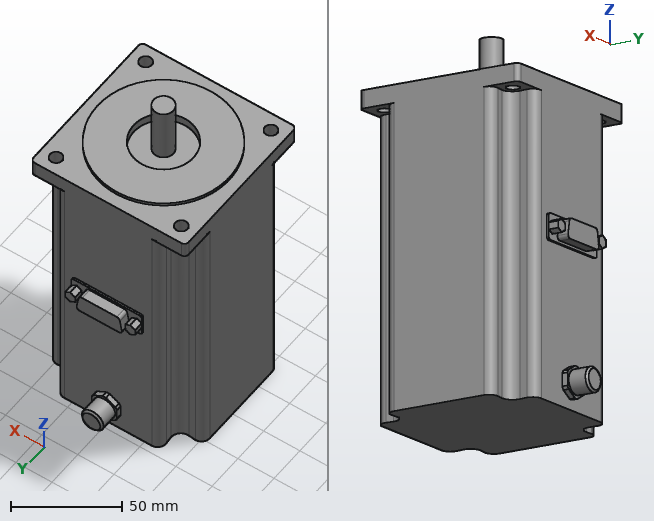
import cadquery as cq
import math

side = 85.8
half_side = side / 2
overall_height = 179.6
body_height = 144.0

lobe_radius = 4.5
lobe_inset = 18.7
groove_radius = 5.4
groove_inset = 9.2

flange_thickness = 8.6
flange_corner_radius = 2.3
bolt_hole_diameter = 6.6
bolt_spacing = 69.3
pilot_diameter = 73.0
pilot_height = 1.6
recess_diameter = 33.0
recess_depth = 4.7
shaft_diameter = 11.0

plug_z = 12.5
plug_diameter = 12.0
plug_length = 13.0
plug_chamfer = 1.0
nut_across_flats = 14.0
nut_corner_diameter = 15.3
nut_thickness = 2.9

socket_z = 81.5
plate_width = 39.2
plate_height = 12.5
plate_thickness = 1.0
plate_corner_radius = 1.5
shell_height = 9.9
shell_top_width = 22.3
shell_draft = 10.0
shell_corner_radius = 1.8
shell_length = 6.8
standoff_spacing = 33.2
standoff_across_flats = 5.5
standoff_length = 6.1


def corner_points():
    """Outline points of the (-X, -Y) corner, from the -Y side to the -X side, as insets from the corner.

    A straight flank touches both the lobe and the groove; mirroring across the diagonal gives the other half.
    """
    along = lobe_inset - groove_inset
    across = groove_inset - lobe_radius
    centre_distance = math.hypot(along, across)
    line_of_centres = math.atan2(across, -along)
    flank_turn = math.acos((lobe_radius + groove_radius) / centre_distance)
    normal = line_of_centres + flank_turn
    nx, ny = math.cos(normal), math.sin(normal)
    straight_down = math.pi * 3 / 2
    middle = (straight_down + normal) / 2

    lobe_start = (lobe_inset, 0)
    lobe_middle = (lobe_inset + lobe_radius * math.cos(middle), lobe_radius + lobe_radius * math.sin(middle))
    lobe_end = (lobe_inset + lobe_radius * nx, lobe_radius + lobe_radius * ny)
    groove_start = (groove_inset - groove_radius * nx, groove_inset - groove_radius * ny)
    deepest = groove_inset + groove_radius / math.sqrt(2)
    half = [lobe_start, lobe_middle, lobe_end, groove_start]
    return half + [(deepest, deepest)] + [(v, u) for u, v in reversed(half)]


def make_body():
    corner = [(u - half_side, v - half_side) for u, v in corner_points()]
    outline = cq.Workplane("XY").moveTo(*corner[0])
    for _ in range(4):
        outline = outline.threePointArc(corner[1], corner[2]).lineTo(*corner[3])
        outline = outline.threePointArc(corner[4], corner[5]).lineTo(*corner[6])
        outline = outline.threePointArc(corner[7], corner[8])
        corner = [(y, -x) for x, y in corner]
        outline = outline.lineTo(*corner[0])
    return outline.close().extrude(body_height)


def make_flange():
    flange = cq.Workplane("XY").box(side, side, flange_thickness, centered=(True, True, False))
    flange = flange.edges("|Z").fillet(flange_corner_radius)
    flange = flange.faces(">Z").workplane().rect(bolt_spacing, bolt_spacing, forConstruction=True)
    flange = flange.vertices().hole(bolt_hole_diameter)
    return flange.translate((0, 0, body_height))


def add_pilot_and_shaft(motor):
    flange_top = body_height + flange_thickness
    pilot_top = flange_top + pilot_height
    recess_floor = pilot_top - recess_depth
    pilot = cq.Workplane("XY").workplane(offset=flange_top).circle(pilot_diameter / 2).extrude(pilot_height)
    recess = cq.Workplane("XY").workplane(offset=recess_floor).circle(recess_diameter / 2).extrude(recess_depth)
    shaft = cq.Workplane("XY").workplane(offset=recess_floor).circle(shaft_diameter / 2)
    shaft = shaft.extrude(overall_height - recess_floor)
    return motor.union(pilot).cut(recess).union(shaft)


def side_plane(z):
    """Workplane on the +Y side: local x is -X, local y is +Z, extrusions grow outward."""
    return cq.Workplane(cq.Plane(origin=(0, half_side, z), xDir=(-1, 0, 0), normal=(0, 1, 0)))


def hexagon(plane, across_flats, length):
    """Hexagonal prism with corners pointing up and down."""
    corner_diameter = across_flats / math.cos(math.pi / 6)
    return plane.transformed(rotate=(0, 0, 90)).polygon(6, corner_diameter).extrude(length)


def make_plug():
    nut = hexagon(side_plane(plug_z), nut_across_flats, nut_thickness)
    nut = nut.intersect(side_plane(plug_z).circle(nut_corner_diameter / 2).extrude(nut_thickness))
    plug = side_plane(plug_z).circle(plug_diameter / 2).extrude(plug_length)
    return nut.union(plug.faces(">Y").chamfer(plug_chamfer))


def make_socket():
    plate = side_plane(socket_z).rect(plate_width, plate_height).extrude(plate_thickness)
    socket = plate.edges("|Y").fillet(plate_corner_radius)

    half_top = shell_top_width / 2
    half_bottom = half_top + shell_height * math.tan(math.radians(shell_draft))
    half_height = shell_height / 2
    shell = side_plane(socket_z).polyline([
        (-half_top, half_height),
        (-half_bottom, -half_height),
        (half_bottom, -half_height),
        (half_top, half_height),
    ]).close().extrude(shell_length)
    socket = socket.union(shell.edges("|Y").fillet(shell_corner_radius))

    for x in (-standoff_spacing / 2, standoff_spacing / 2):
        standoff = hexagon(side_plane(socket_z).center(x, 0), standoff_across_flats, standoff_length)
        socket = socket.union(standoff)
    return socket


motor = add_pilot_and_shaft(make_body().union(make_flange()))
result = motor.union(make_plug()).union(make_socket())